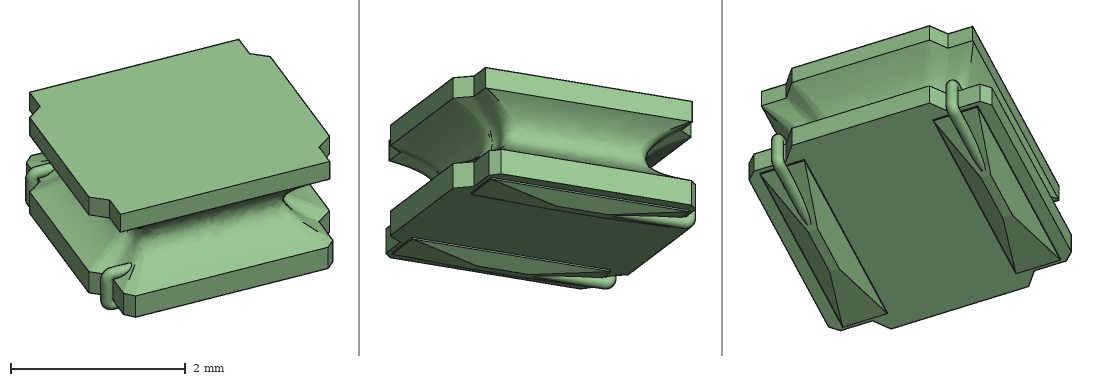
import cadquery as cq
import math

core_half = 1.5
square_half = 1.305
lobe_root_half = 1.0
lobe_tip_half = 0.85
base_chamfer = 0.105
base_thickness = 0.30
waist_height = 0.80
top_thickness = 0.25
waist_top = base_thickness + waist_height
base_top = base_thickness

waist_side_half = 1.02
waist_notch_half = 0.90
waist_lobe_half = 0.977
waist_lobe_root_half = 0.74
waist_lobe_tip_half = 0.62
waist_corner_trim = 0.134
waist_lobe_trim = 0.062

base_corner_trim = 0.115
top_corner_trim = 0.02
flange_lobe_trim = 0.015

waist_section_steps = 8

waist_chamfer_top = 0.555
chamfer_steps = 4

wire_radius = 0.07
bend_clearance = 0.0007
bend_radius = wire_radius + bend_clearance
wire_x = 1.078
upper_bend_z = base_top
lower_bend_z = 0.018
wire_upper_end_y = -0.90
wire_lower_end_y = -0.30

terminal_x = 1.07
terminal_half_width = 0.275
terminal_half_length = 1.25
terminal_tip_half_width = 0.06
terminal_tip_half_length = 0.33
terminal_rim = 0.02
terminal_height = 0.13


def lobe_flank():
    """Tip and root of the lobe flank that both flanges share in the +X, +Y quarter."""
    return [(lobe_tip_half, core_half), (lobe_root_half, square_half)]


def mirrored_outline(quarter):
    """Closed outline from the corners of the +X, +Y quarter, listed from the lobe outwards."""
    signs = [(1, 1), (1, -1), (-1, -1), (-1, 1)]
    outline = []
    for sx, sy in signs:
        corners = quarter if sx == sy else quarter[::-1]
        outline += [(sx * x, sy * y) for x, y in corners]
    return outline


def top_flange():
    quarter = lobe_flank() + [(square_half, square_half)]
    outline = mirrored_outline(quarter)
    return cq.Workplane(origin=(0, 0, waist_top)).polyline(outline).close().extrude(top_thickness)


def base_flange():
    quarter = lobe_flank() + [
        (core_half - base_chamfer, square_half),
        (core_half, square_half - base_chamfer),
    ]
    return cq.Workplane().polyline(mirrored_outline(quarter)).close().extrude(base_thickness)


def blend(waist_value, flange_value, flare):
    """The first value at flare 0, the second at flare 1."""
    return waist_value + (flange_value - waist_value) * flare


def flare_at(z):
    """0 at the middle of the waist, growing with the square of the distance to 1 at the flanges."""
    half_height = waist_height / 2
    return ((z - base_top - half_height) / half_height) ** 2


def waist_quarter(z):
    """Sharp corners of one quarter of the waist section, each with its trim length."""
    flare = flare_at(z)
    in_lower_half = z < base_top + waist_height / 2
    flange_side_half = core_half if in_lower_half else square_half
    flange_corner_trim = base_corner_trim if in_lower_half else top_corner_trim
    side = blend(waist_side_half, flange_side_half, flare)
    notch = blend(waist_notch_half, square_half, flare)
    lobe = blend(waist_lobe_half, core_half, flare)
    root = blend(waist_lobe_root_half, lobe_root_half, flare)
    tip = blend(waist_lobe_tip_half, lobe_tip_half, flare)
    lobe_trim = blend(waist_lobe_trim, flange_lobe_trim, flare)
    corner_trim = blend(waist_corner_trim, flange_corner_trim, flare)
    return [(tip, lobe), (root, notch), (side, notch)], [lobe_trim, lobe_trim, corner_trim]


def point_towards(start, end, distance):
    length = math.dist(start, end)
    return tuple(a + (b - a) * distance / length for a, b in zip(start, end))


def waist_section(z):
    """Waist outline at height z, every corner replaced by an arc tangent to both its sides."""
    quarter, quarter_trims = waist_quarter(z)
    corners = mirrored_outline(quarter)
    trims = (quarter_trims + quarter_trims[::-1]) * 2
    arc_ends = []
    for i, corner in enumerate(corners):
        before = point_towards(corner, corners[i - 1], trims[i])
        after = point_towards(corner, corners[(i + 1) % len(corners)], trims[i])
        arc_ends.append((before, after))
    section = cq.Workplane(origin=(0, 0, z)).moveTo(*arc_ends[-1][1])
    for before, after in arc_ends:
        section = section.lineTo(*before).tangentArcPoint(after, relative=False)
    return section.wire().val()


def waist():
    step = waist_height / 2 / waist_section_steps
    heights = [base_top + i * step for i in range(2 * waist_section_steps + 1)]
    return cq.Workplane(cq.Solid.makeLoft([waist_section(z) for z in heights]))


def waist_chamfer_cutter():
    """Wedge that carries the base chamfer up one waist corner until it runs out."""
    reach = base_chamfer
    rise = waist_chamfer_top - base_top
    sections = []
    for i in range(chamfer_steps + 1):
        fraction = i / chamfer_steps
        z = base_top + rise * fraction
        corners, trims = waist_quarter(z)
        side, notch = corners[-1]
        corner_trim = trims[-1]
        touching = corner_trim * (2 - math.sqrt(2))
        cut = blend(base_chamfer, touching, fraction)
        points = [
            (side + reach, notch - cut - reach),
            (side + reach, notch + reach),
            (side - cut - reach, notch + reach),
        ]
        sections.append(cq.Workplane(origin=(0, 0, z)).polyline(points).close().val())
    return cq.Workplane(cq.Solid.makeLoft(sections))


def chamfered_waist():
    body = waist()
    cutter = waist_chamfer_cutter()
    for half in (cutter, cutter.mirror("YZ")):
        body = body.cut(half).cut(half.mirror("XZ"))
    return body


def wire_bend(x, z, start_angle):
    """Quarter turn of the wire about an X axis on the face beside the lobe, from start_angle.

    At 0 degrees it runs from -Y down to -Z; at -90 degrees from +Z down to -Y.
    """
    return (
        cq.Workplane("XY", origin=(x, -square_half, z))
        .center(0, -bend_radius)
        .circle(wire_radius)
        .revolve(90, (0, bend_radius, 0), (1, bend_radius, 0))
        .rotate((x, -square_half, z), (x + 1, -square_half, z), start_angle)
    )


def straight_wire(start, end):
    path = cq.Vector(*end) - cq.Vector(*start)
    return cq.Workplane(cq.Solid.makeCylinder(wire_radius, path.Length, cq.Vector(*start), path))


def wire_lead(x):
    outer_y = -square_half - bend_radius
    upper_z = upper_bend_z + bend_radius
    lower_z = lower_bend_z - bend_radius
    lead = straight_wire((x, outer_y, lower_bend_z), (x, outer_y, upper_bend_z))
    lead = lead.union(straight_wire((x, -square_half, upper_z), (x, wire_upper_end_y, upper_z)))
    lead = lead.union(straight_wire((x, -square_half, lower_z), (x, wire_lower_end_y, lower_z)))
    lead = lead.union(wire_bend(x, upper_bend_z, -90))
    return lead.union(wire_bend(x, lower_bend_z, 0))


def terminal(x):
    width = 2 * terminal_half_width
    length = 2 * terminal_half_length
    rim = cq.Workplane(origin=(x, 0, 0)).rect(width, length).extrude(-terminal_rim)
    mound = (
        cq.Workplane(origin=(x, 0, -terminal_rim))
        .rect(width, length)
        .workplane(offset=terminal_rim - terminal_height)
        .rect(2 * terminal_tip_half_width, 2 * terminal_tip_half_length)
        .loft(ruled=True)
    )
    return rim.union(mound)


result = base_flange().union(chamfered_waist()).union(top_flange())
for side_sign in (-1, 1):
    result = result.union(terminal(side_sign * terminal_x)).union(wire_lead(side_sign * wire_x))